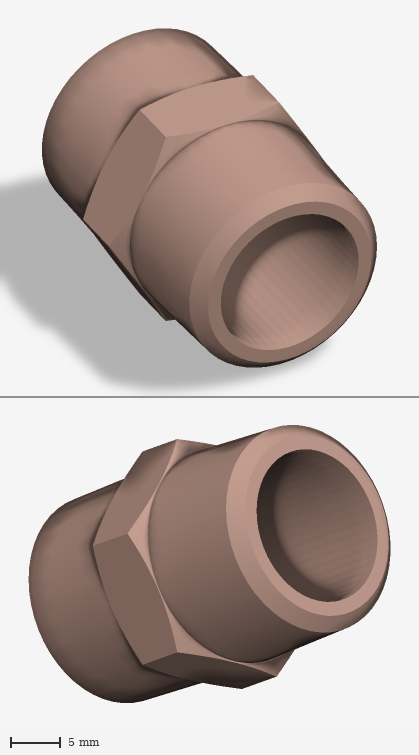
import cadquery as cq
import math

total_length = 34.0
hex_width = 7.5
across_flats = 22.5
bore_diameter = 15.8
tip_diameter = 21.5
end_face_diameter = 18.7
end_chamfer_length = 1.38
taper_ratio = 1 / 16
hex_chamfer_angle = 30.0

half_length = total_length / 2
half_hex = hex_width / 2
half_side_angle = math.pi / 6
across_corners = across_flats / math.cos(half_side_angle)
taper_length = half_length - half_hex - end_chamfer_length
root_diameter = tip_diameter + taper_ratio * taper_length


def revolve_about_x(points):
    """Revolve a closed (x, radius) outline about the X axis."""
    return cq.Workplane("XY").polyline(points).close().revolve(360, (0, 0, 0), (1, 0, 0))


def make_hexagon():
    """Hexagon with corners on Y, its corners turned off conically on both sides."""
    prism = cq.Workplane("YZ").polygon(6, across_corners).extrude(half_hex, both=True)
    face_radius = across_flats / 2
    corner_radius = across_corners / 2
    corner_setback = (corner_radius - face_radius) * math.tan(math.radians(hex_chamfer_angle))
    corner_x = half_hex - corner_setback
    envelope = revolve_about_x([
        (-half_hex, 0),
        (-half_hex, face_radius),
        (-corner_x, corner_radius),
        (corner_x, corner_radius),
        (half_hex, face_radius),
        (half_hex, 0),
    ])
    return prism.intersect(envelope)


def make_end():
    """Tapered, chamfered end on the +X side, starting at the middle of the hexagon."""
    return revolve_about_x([
        (0, 0),
        (0, root_diameter / 2),
        (half_hex, root_diameter / 2),
        (half_length - end_chamfer_length, tip_diameter / 2),
        (half_length, end_face_diameter / 2),
        (half_length, 0),
    ])


def make_bore():
    """Through bore along X."""
    return cq.Workplane("YZ").circle(bore_diameter / 2).extrude(half_length, both=True)


end = make_end()
result = make_hexagon().union(end).union(end.mirror("YZ")).cut(make_bore())